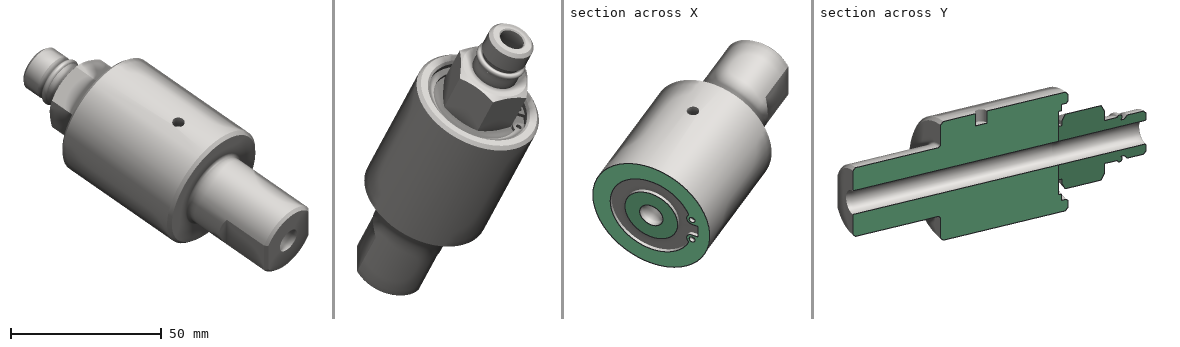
import cadquery as cq
import math

total_length = 111.9
bore_diameter = 8.5
bore_chamfer = 0.5

nipple_radius = 16.0 / 2
nipple_chamfer = 1.1
groove_radius = 13.5 / 2
groove_start = 7.3
groove_end = 11.3
o_ring_section = 2.1
o_ring_sink = 0.2
root_relief_width = 0.6
root_relief_depth = 0.06

hex_start = 15.9
hex_end = 32.3
hex_across_flats = 23.8
hex_sides = 6
hex_corner_diameter = hex_across_flats / math.cos(math.pi / hex_sides)
hex_face_radius = 11.4
hex_bevel_angle = math.radians(30)
hex_turn = 30
neck_radius = 19.8 / 2

drum_start = 29.8
drum_end = 78.5
drum_radius = 43.8 / 2
drum_chamfer = 1.1
drain_diameter = 4.1
drain_x = 62.9
drain_depth = 4.5

recess_radius = 35.0 / 2
recess_chamfer = 0.8
recess_floor = 33.5
ring_thickness = 1.2
ring_start = recess_floor - ring_thickness
ring_inner_radius = 15.2
ring_gap = 4.6
lug_radius = 4.3 / 2
lug_y = -15.2
lug_z = ring_gap / 2 + lug_radius
lug_hole_diameter = 2.0
lug_fillet = 0.6

shaft_radius = 25.4 / 2
shaft_chamfer = 1.0
shaft_root_fillet = 1.0
flat_distance = 11.0
flat_start = 94.3


def cylinder(start, end, radius):
    """Solid cylinder on the X axis between two X positions."""
    return cq.Workplane("YZ", origin=(start, 0, 0)).circle(radius).extrude(end - start)


def make_nipple():
    """Turned nipple with a seal groove (left wall at 45 degrees) and a shallow relief at the hexagon."""
    groove_depth = nipple_radius - groove_radius
    profile = (
        cq.Workplane("XY")
        .moveTo(0, 0)
        .lineTo(0, nipple_radius - nipple_chamfer)
        .lineTo(nipple_chamfer, nipple_radius)
        .lineTo(groove_start, nipple_radius)
        .lineTo(groove_start + groove_depth, groove_radius)
        .lineTo(groove_end, groove_radius)
        .lineTo(groove_end, nipple_radius)
        .lineTo(hex_start - root_relief_width, nipple_radius)
        .lineTo(hex_start - root_relief_width, nipple_radius - root_relief_depth)
        .lineTo(hex_start, nipple_radius - root_relief_depth)
        .lineTo(hex_start, 0)
        .close()
    )
    return profile.revolve(360, (0, 0, 0), (1, 0, 0))


def make_o_ring():
    """O-ring bead against the right groove wall, sunk slightly into the groove floor."""
    section_radius = o_ring_section / 2
    bead_x = groove_end - section_radius
    bead_radius = groove_radius + section_radius - o_ring_sink
    section = cq.Workplane("XY").center(bead_x, bead_radius).circle(section_radius)
    return section.revolve(360, (0, -bead_radius, 0), (1, -bead_radius, 0))


def make_hexagon():
    """Hexagon with corners at +Z and -Z, both ends bevelled by cones."""
    prism = (
        cq.Workplane("YZ", origin=(hex_start, 0, 0))
        .polygon(hex_sides, hex_corner_diameter)
        .extrude(hex_end - hex_start)
        .rotate((0, 0, 0), (1, 0, 0), hex_turn)
    )
    hex_middle = (hex_start + hex_end) / 2
    cone_radius = hex_face_radius + (hex_middle - hex_start) / math.tan(hex_bevel_angle)
    double_cone = (
        cq.Workplane("XY")
        .moveTo(hex_start, 0)
        .lineTo(hex_start, hex_face_radius)
        .lineTo(hex_middle, cone_radius)
        .lineTo(hex_end, hex_face_radius)
        .lineTo(hex_end, 0)
        .close()
        .revolve(360, (0, 0, 0), (1, 0, 0))
    )
    return prism.intersect(double_cone)


def make_rotor():
    """Nipple, O-ring bead, hexagon and neck with a through bore; the neck butts on the recess floor."""
    neck = cylinder(hex_end, recess_floor, neck_radius)
    bore = cylinder(0, recess_floor, bore_diameter / 2)
    rotor = make_nipple().union(make_o_ring()).union(make_hexagon()).union(neck).cut(bore)
    bore_edge = cq.selectors.RadiusNthSelector(0)
    return rotor.faces("<X").edges(bore_edge).chamfer(bore_chamfer)


def make_retaining_ring():
    """Flat ring, open on the -Y side, with a drilled lug at each end."""
    plane = cq.Workplane("YZ", origin=(ring_start, 0, 0))
    lug_centres = [(lug_y, lug_z), (lug_y, -lug_z)]
    band = plane.circle(recess_radius).circle(ring_inner_radius).extrude(ring_thickness)
    lugs = plane.pushPoints(lug_centres).circle(lug_radius).extrude(ring_thickness)
    lugs = lugs.intersect(cylinder(ring_start, recess_floor, recess_radius))
    gap = plane.center(-recess_radius, 0).rect(recess_radius, ring_gap).extrude(ring_thickness)
    holes = plane.pushPoints(lug_centres).circle(lug_hole_diameter / 2).extrude(ring_thickness)
    ring = band.union(lugs).cut(gap)
    lug_distance = math.hypot(lug_y, lug_z)
    lug_angle = math.atan2(lug_z, -lug_y)
    squares = lug_distance**2 + ring_inner_radius**2 - lug_radius**2
    root_angle = lug_angle + math.acos(squares / (2 * lug_distance * ring_inner_radius))
    root_y = -ring_inner_radius * math.cos(root_angle)
    root_z = ring_inner_radius * math.sin(root_angle)
    root_x = ring_start + ring_thickness / 2
    for side in (1, -1):
        root = cq.selectors.NearestToPointSelector((root_x, root_y, side * root_z))
        ring = ring.edges("|X").edges(root).fillet(lug_fillet)
    return ring.cut(holes)


def make_shaft():
    """Output shaft with two flats whose inner ends run out at 45 degrees."""
    shaft = cylinder(drum_end, total_length, shaft_radius)
    flat_depth = shaft_radius - flat_distance
    for side in (1, -1):
        cutter = (
            cq.Workplane("XY")
            .moveTo(flat_start - flat_depth, side * shaft_radius)
            .lineTo(flat_start, side * flat_distance)
            .lineTo(total_length, side * flat_distance)
            .lineTo(total_length, side * shaft_radius)
            .close()
            .extrude(shaft_radius, both=True)
        )
        shaft = shaft.cut(cutter)
    return shaft.faces(">X").edges().chamfer(shaft_chamfer)


def make_root_fillet():
    """Concave fillet where the shaft leaves the drum."""
    return (
        cq.Workplane("XY")
        .moveTo(drum_end, 0)
        .lineTo(drum_end, shaft_radius + shaft_root_fillet)
        .radiusArc((drum_end + shaft_root_fillet, shaft_radius), -shaft_root_fillet)
        .lineTo(drum_end + shaft_root_fillet, 0)
        .close()
        .revolve(360, (0, 0, 0), (1, 0, 0))
    )


def make_housing():
    """Drum and shaft with the recess, retaining ring, bore and drain hole."""
    drum = cylinder(drum_start, drum_end, drum_radius).faces("<X or >X").chamfer(drum_chamfer)
    recess = cylinder(drum_start, recess_floor, recess_radius)
    drum = drum.cut(recess)
    drum = drum.faces("<X").edges(cq.selectors.RadiusNthSelector(0)).chamfer(recess_chamfer)
    bore = cylinder(recess_floor, total_length, bore_diameter / 2)
    drain = (
        cq.Workplane("XY", origin=(drain_x, 0, drum_radius - drain_depth))
        .circle(drain_diameter / 2)
        .extrude(drain_depth)
    )
    housing = drum.union(make_shaft()).union(make_root_fillet())
    return housing.cut(bore).cut(drain).union(make_retaining_ring())


rotor = make_rotor()
housing = make_housing()
result = cq.Compound.makeCompound([housing.val(), rotor.val()])